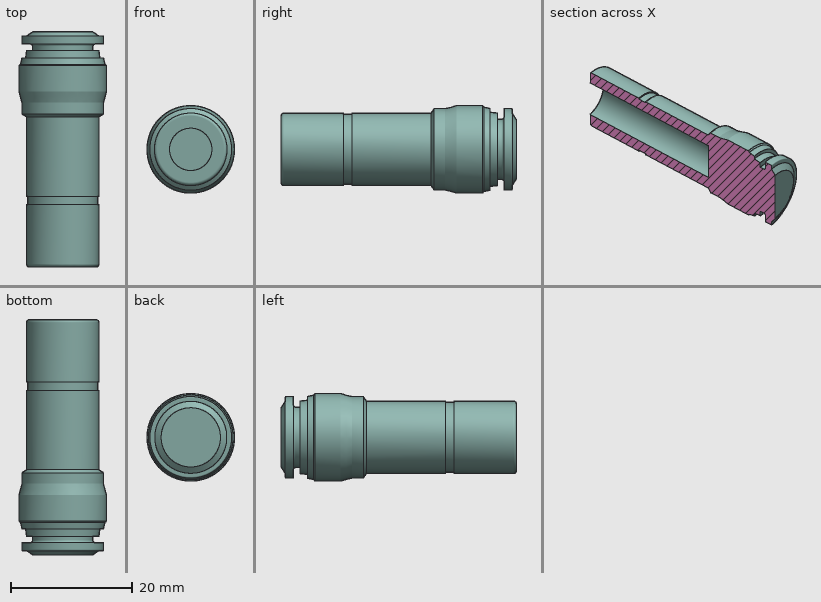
import cadquery as cq

TOTAL_LENGTH = 38.9

STEM_RADIUS = 6.0
STEM_END_ROUND = 0.5
GROOVE_START = 10.3
GROOVE_WIDTH = 1.4
GROOVE_DEPTH = 0.2
BORE_RADIUS = 3.5

BODY_START = 24.8
BODY_RADIUS = 7.25
SHOULDER_RADIUS = 6.75
SHOULDER_CHAMFER_LENGTH = 0.5
SHOULDER_END = 27.15
FLARE_END = 29.0
BAND_END = 33.3
NOSE_BASE = 33.5
NOSE_BASE_RADIUS = 7.0
NOSE_END = 34.55
NOSE_TIP_RADIUS = 6.75

RING_END = 35.8
RING_BASE_RADIUS = 6.15
RING_TIP_RADIUS = 6.0

NECK_RADIUS = 5.0
NECK_FILLET = 0.4
FLANGE_START = 36.85
FLANGE_END = 38.2
FLANGE_RADIUS = 6.75
FLANGE_ROUND = 0.2
CROWN_BASE_RADIUS = 5.95
CROWN_TIP_RADIUS = 4.9

BORE_DEPTH = BODY_START


def revolve_about_y(profile):
    """Close a half profile and revolve it a full turn about the Y axis."""
    return profile.close().revolve(360, (0, 0, 0), (0, 1, 0))


def make_stem():
    groove_radius = STEM_RADIUS - GROOVE_DEPTH
    groove_end = GROOVE_START + GROOVE_WIDTH
    stem = cq.Workplane("XZ").circle(STEM_RADIUS).extrude(-BODY_START)
    stem = stem.faces("<Y").edges().fillet(STEM_END_ROUND)
    groove = revolve_about_y(
        cq.Workplane("XY")
        .moveTo(groove_radius, GROOVE_START)
        .lineTo(BODY_RADIUS, GROOVE_START)
        .lineTo(BODY_RADIUS, groove_end)
        .lineTo(groove_radius, groove_end)
    )
    return stem.cut(groove)


def make_body():
    return revolve_about_y(
        cq.Workplane("XY")
        .moveTo(0, BODY_START)
        .lineTo(STEM_RADIUS, BODY_START)
        .lineTo(SHOULDER_RADIUS, BODY_START + SHOULDER_CHAMFER_LENGTH)
        .lineTo(SHOULDER_RADIUS, SHOULDER_END)
        .lineTo(BODY_RADIUS, FLARE_END)
        .lineTo(BODY_RADIUS, BAND_END)
        .lineTo(NOSE_BASE_RADIUS, NOSE_BASE)
        .lineTo(NOSE_TIP_RADIUS, NOSE_END)
        .lineTo(RING_BASE_RADIUS, NOSE_END)
        .lineTo(RING_TIP_RADIUS, RING_END)
        .lineTo(0, RING_END)
    )


def make_button():
    return revolve_about_y(
        cq.Workplane("XY")
        .moveTo(0, RING_END)
        .lineTo(NECK_RADIUS, RING_END)
        .lineTo(NECK_RADIUS, FLANGE_START - NECK_FILLET)
        .radiusArc((NECK_RADIUS + NECK_FILLET, FLANGE_START), NECK_FILLET)
        .lineTo(FLANGE_RADIUS, FLANGE_START)
        .lineTo(FLANGE_RADIUS, FLANGE_END - FLANGE_ROUND)
        .radiusArc((FLANGE_RADIUS - FLANGE_ROUND, FLANGE_END), -FLANGE_ROUND)
        .lineTo(CROWN_BASE_RADIUS, FLANGE_END)
        .lineTo(CROWN_TIP_RADIUS, TOTAL_LENGTH)
        .lineTo(0, TOTAL_LENGTH)
    )


def make_bore():
    return cq.Workplane("XZ").circle(BORE_RADIUS).extrude(-BORE_DEPTH)


result = make_stem().union(make_body()).union(make_button()).cut(make_bore())